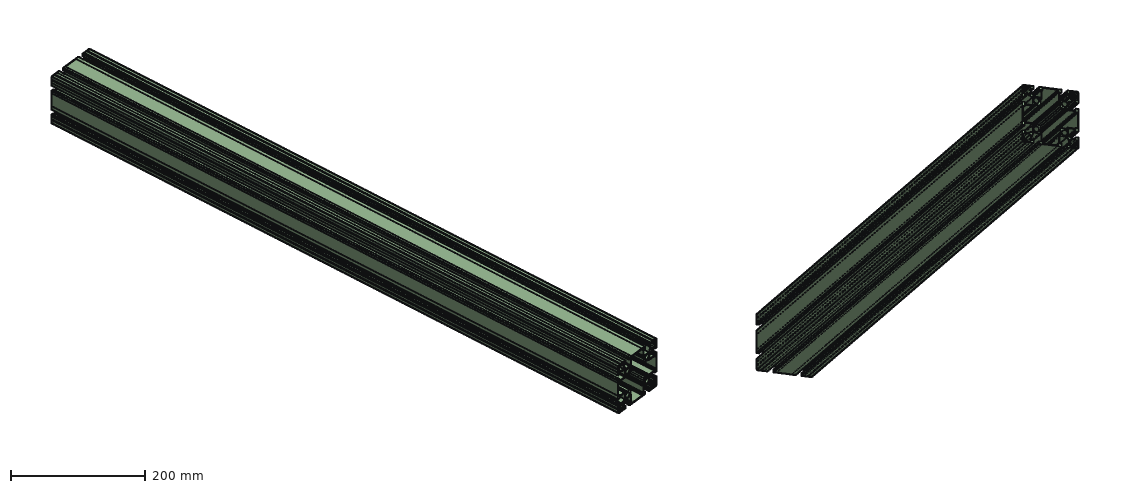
import cadquery as cq

length = 1100.0
side = 90.0
half = side / 2
slot_place = side / 4
wall = 1.3
corner_radius = 3.0

slot_opening = 9.0
slot_inner_width = 15.0
slot_depth = 16.0
lip = 4.0
mouth_chamfer = 0.5
slot_taper_height = 8.0
slot_taper_width = 3.0

slot_inner_near = slot_place - slot_inner_width / 2
slot_inner_far = slot_place + slot_inner_width / 2
slot_floor = half - slot_depth

cavity_near = slot_inner_far + wall
cavity_far = half - wall
cavity_size = cavity_far - cavity_near
rib_place = 37.0
rib_width = 1.6
rib_height = 2.0

lip_edge = 12.0
core_inner = 15.0
core_top = 23.0
core_chamfer = 2.0
notch_end = 16.0
core_hole_diameter = 9.0


def prism(points):
    """Extrude a closed outline in the YZ plane over the full length."""
    return cq.Workplane("YZ").polyline(points).close().extrude(length)


def four_ways(body):
    """Join four copies of a body, a quarter turn apart about the profile axis."""
    copies = body
    for angle in (90, 180, 270):
        copies = copies.union(body.rotate((0, 0, 0), (1, 0, 0), angle))
    return copies


def slot_pair():
    """The two T-slots in the top side; the floor is tapered towards the corner."""
    opening_near = slot_place - slot_opening / 2
    opening_far = slot_place + slot_opening / 2
    slot = prism([
        (opening_near - mouth_chamfer, half),
        (opening_near, half - mouth_chamfer),
        (opening_near, half - lip),
        (slot_inner_near, half - lip),
        (slot_inner_near, slot_floor),
        (slot_inner_far - slot_taper_width, slot_floor),
        (slot_inner_far, slot_floor + slot_taper_height),
        (slot_inner_far, half - lip),
        (opening_far, half - lip),
        (opening_far, half - mouth_chamfer),
        (opening_far + mouth_chamfer, half),
    ])
    return slot.union(slot.mirror("XZ"))


def corner_cavity():
    """Square cavity in one corner, less the two ribs on its outer walls."""
    middle = (cavity_near + cavity_far) / 2
    rib_middle = cavity_far - rib_height / 2
    cavity = cq.Workplane("YZ").center(middle, middle).rect(cavity_size, cavity_size).extrude(length)
    top_rib = cq.Workplane("YZ").center(rib_place, rib_middle).rect(rib_width, rib_height).extrude(length)
    side_rib = cq.Workplane("YZ").center(rib_middle, rib_place).rect(rib_height, rib_width).extrude(length)
    return cavity.cut(top_rib).cut(side_rib)


def central_cavity_quarter():
    """One quarter of the cross-shaped cavity, symmetric about its diagonal."""
    arm_side = slot_inner_near - wall
    upper_half = [
        (0, half - wall),
        (lip_edge, half - wall),
        (lip_edge, half - lip),
        (arm_side, half - lip),
        (arm_side, slot_floor - wall),
        (notch_end, slot_floor - wall),
        (notch_end, core_top),
        (core_inner, core_top),
        (core_inner, core_inner + core_chamfer),
    ]
    lower_half = [(z, y) for y, z in reversed(upper_half)]
    return prism([(0, 0)] + upper_half + lower_half)


def core_hole():
    """Screw hole running through one core."""
    return cq.Workplane("YZ").center(slot_place, slot_place).circle(core_hole_diameter / 2).extrude(length)


bar = cq.Workplane("YZ").rect(side, side).extrude(length).edges("|X").fillet(corner_radius)

for cutter in (slot_pair(), corner_cavity(), central_cavity_quarter(), core_hole()):
    bar = bar.cut(four_ways(cutter))

result = bar.translate((-length / 2, 0, 0)).solids()